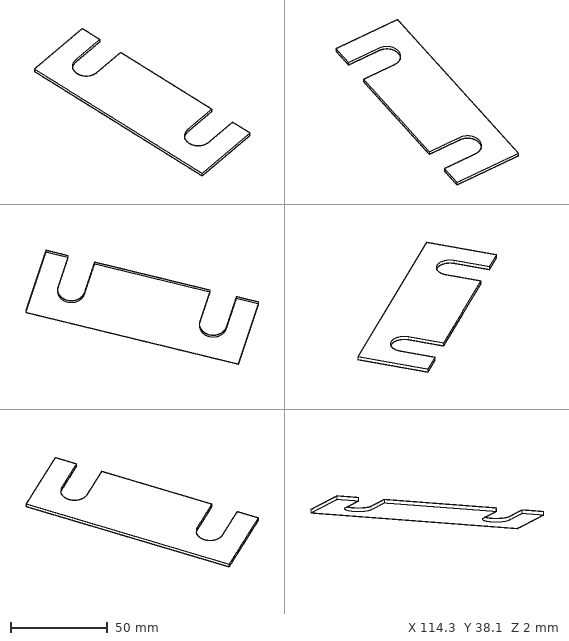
import cadquery as cq

length = 114.3
width = 38.1
thickness = 2.0

slot_width = 14.2
slot_spacing = 76.2
slot_end_y = 0.0


def open_slot(center_x):
    """Cutter for one slot: a round end plus a straight run to the +Y edge."""
    round_end = cq.Workplane("XY").center(center_x, slot_end_y).circle(slot_width / 2).extrude(thickness)
    run_length = width / 2 - slot_end_y
    straight_run = (
        cq.Workplane("XY")
        .center(center_x, slot_end_y + run_length / 2)
        .rect(slot_width, run_length)
        .extrude(thickness)
    )
    return round_end.union(straight_run)


result = cq.Workplane("XY").rect(length, width).extrude(thickness)
for side in (-1, 1):
    result = result.cut(open_slot(side * slot_spacing / 2))